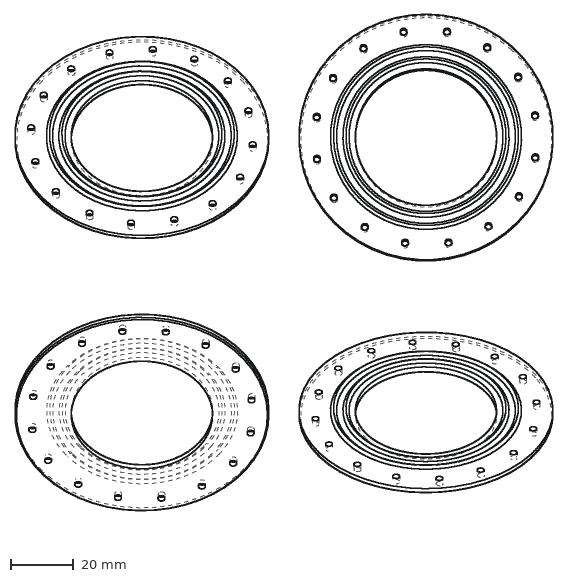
import cadquery as cq

outer_radius = 40.5
bore_radius = 22.5
plate_thickness = 2.0
bottom_chamfer = 0.5

ridge_height = 1.0
ridge_crest_radii = (25.5, 29.5)

hole_count = 16
hole_diameter = 2.2
bolt_circle_radius = 35.5


def make_plate():
    """Flat ring with its lower outer edge chamfered."""
    disc = cq.Workplane("XY").circle(outer_radius).extrude(plate_thickness)
    disc = disc.faces("<Z").edges().chamfer(bottom_chamfer)
    bore = cq.Workplane("XY").circle(bore_radius).extrude(plate_thickness)
    return disc.cut(bore)


def make_ridge(crest_radius):
    """Ring of triangular section whose base is sunk to the middle of the plate."""
    base_height = plate_thickness / 2
    crest_height = plate_thickness + ridge_height
    half_width = ridge_height
    section = [
        (crest_radius - half_width, base_height),
        (crest_radius + half_width, base_height),
        (crest_radius + half_width, plate_thickness),
        (crest_radius, crest_height),
        (crest_radius - half_width, plate_thickness),
    ]
    return cq.Workplane("XZ").polyline(section).close().revolve(360, (0, 0, 0), (0, 1, 0))


def make_bolt_holes():
    """Cutters for the evenly spaced through holes."""
    return (
        cq.Workplane("XY")
        .polarArray(bolt_circle_radius, 0, 360, hole_count)
        .circle(hole_diameter / 2)
        .extrude(plate_thickness)
    )


result = make_plate()
for crest_radius in ridge_crest_radii:
    result = result.union(make_ridge(crest_radius))
result = result.cut(make_bolt_holes())